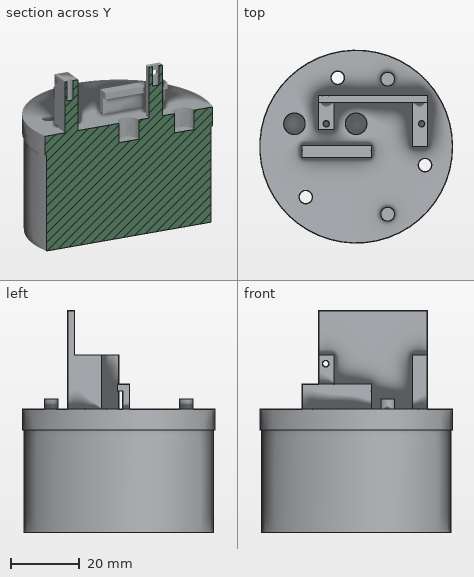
import cadquery as cq
import math

body_diameter = 55.3
body_height = 30.0
cap_diameter = 56.3
cap_thickness = 6.0
deck_z = body_height + cap_thickness
total_height = 64.75

through_hole_diameter = 3.8
through_hole_circle_radius = 20.8
through_hole_count = 3
through_hole_first_angle = 105.0

large_hole_diameter = 6.3
large_hole_spacing = 18.0
hole_row_y = 6.7

pin_diameter = 4.0
pin_height = 3.0
pin_x = 9.2
pin_y = 19.7

wall_thickness = 2.0
plate_left_x = -10.95
plate_width = 31.7
plate_right_x = plate_left_x + plate_width
plate_back_y = 14.9
plate_front_y = plate_back_y - wall_thickness
arm_height = 15.85
arm_top_z = deck_z + arm_height
left_arm_width = 4.55
left_arm_front_y = 5.0
right_arm_width = 4.35
right_arm_front_y = 0.0

screw_hole_diameter = 1.8
screw_hole_depth = 6.0
left_screw_x = -8.75
right_screw_x = 19.1
cross_hole_x = -8.9
cross_hole_drop = 2.6

rail_left_x = -15.75
rail_length = 20.15
rail_front_y = -3.2
rail_height = 7.3
rail_lip_depth = 3.55


def block(x_min, x_max, y_min, y_max, z_min, z_max):
    """Axis-aligned box given by its limits."""
    size = (x_max - x_min, y_max - y_min, z_max - z_min)
    return cq.Workplane("XY").box(*size, centered=False).translate((x_min, y_min, z_min))


def cylinder(x, y, z_min, diameter, height):
    """Upright cylinder standing on z_min."""
    return cq.Workplane("XY", origin=(x, y, z_min)).circle(diameter / 2).extrude(height)


def make_base():
    body = cylinder(0, 0, 0, body_diameter, body_height)
    cap = cylinder(0, 0, body_height, cap_diameter, cap_thickness)
    base = body.union(cap)
    for i in range(through_hole_count):
        angle = math.radians(through_hole_first_angle + i * 360 / through_hole_count)
        x = through_hole_circle_radius * math.cos(angle)
        y = through_hole_circle_radius * math.sin(angle)
        base = base.cut(cylinder(x, y, 0, through_hole_diameter, deck_z))
    for x in (-large_hole_spacing, 0):
        base = base.cut(cylinder(x, hole_row_y, body_height, large_hole_diameter, cap_thickness))
    for y in (-pin_y, pin_y):
        base = base.union(cylinder(pin_x, y, deck_z, pin_diameter, pin_height))
    return base


def make_bracket():
    plate = block(plate_left_x, plate_right_x, plate_front_y, plate_back_y, deck_z, total_height)
    left_arm = block(
        plate_left_x, plate_left_x + left_arm_width,
        left_arm_front_y, plate_front_y, deck_z, arm_top_z,
    )
    right_arm = block(
        plate_right_x - right_arm_width, plate_right_x,
        right_arm_front_y, plate_front_y, deck_z, arm_top_z,
    )
    bracket = plate.union(left_arm).union(right_arm)

    for x in (left_screw_x, right_screw_x):
        hole_bottom_z = arm_top_z - screw_hole_depth
        bracket = bracket.cut(
            cylinder(x, hole_row_y, hole_bottom_z, screw_hole_diameter, screw_hole_depth)
        )

    cross_hole = (
        cq.Workplane("XZ", origin=(cross_hole_x, plate_back_y, arm_top_z - cross_hole_drop))
        .circle(screw_hole_diameter / 2)
        .extrude(plate_back_y - left_arm_front_y)
    )
    return bracket.cut(cross_hole)


def make_rail():
    """Upright strip with a lip along its top, overhanging toward the plate."""
    rail_top_z = deck_z + rail_height
    stem_back_y = rail_front_y + wall_thickness
    lip_back_y = rail_front_y + rail_lip_depth
    profile = [
        (rail_front_y, deck_z),
        (stem_back_y, deck_z),
        (stem_back_y, rail_top_z - wall_thickness),
        (lip_back_y, rail_top_z - wall_thickness),
        (lip_back_y, rail_top_z),
        (rail_front_y, rail_top_z),
    ]
    return cq.Workplane("YZ", origin=(rail_left_x, 0, 0)).polyline(profile).close().extrude(rail_length)


result = make_base().union(make_bracket()).union(make_rail())